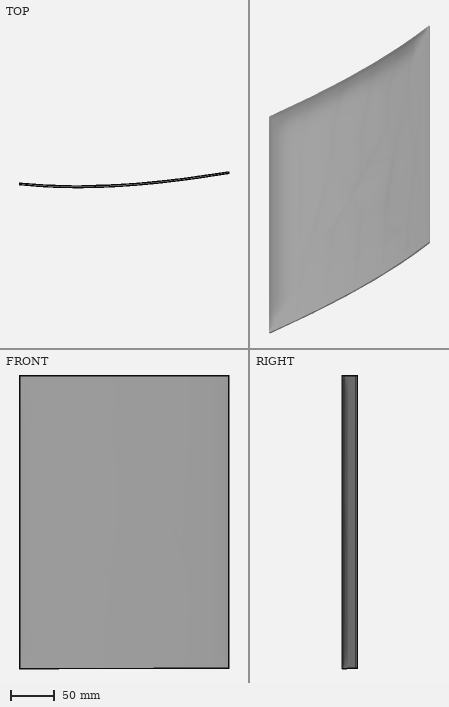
import cadquery as cq

width = 239.18
height = 334.94
depth = 18.27
thickness = 2.0

bottom_climb = 0.63

half_width = width / 2
half_height = height / 2
low_y = -depth / 2
left_rise = 3.4
lowest_x = -51.0
middle_x = 31.0
middle_rise = 4.4
right_rise = depth - thickness


def curved_sheet():
    """Curved sheet: the outer face curve and its copy shifted in +Y, extruded along Z."""
    outer = [
        (-half_width, low_y + left_rise),
        (lowest_x, low_y),
        (middle_x, low_y + middle_rise),
        (half_width, low_y + right_rise),
    ]
    inner = [(x, y + thickness) for x, y in reversed(outer)]
    return (
        cq.Workplane("XY", origin=(0, 0, -half_height))
        .spline(outer)
        .lineTo(*inner[0])
        .spline(inner[1:], includeCurrent=True)
        .close()
        .extrude(height)
    )


def bottom_trim():
    """Thin wedge below the sloping bottom edge, running through the whole depth."""
    return (
        cq.Workplane("XZ")
        .moveTo(-half_width, -half_height)
        .lineTo(half_width, -half_height)
        .lineTo(half_width, -half_height + bottom_climb)
        .close()
        .extrude(depth, both=True)
    )


result = curved_sheet().cut(bottom_trim())